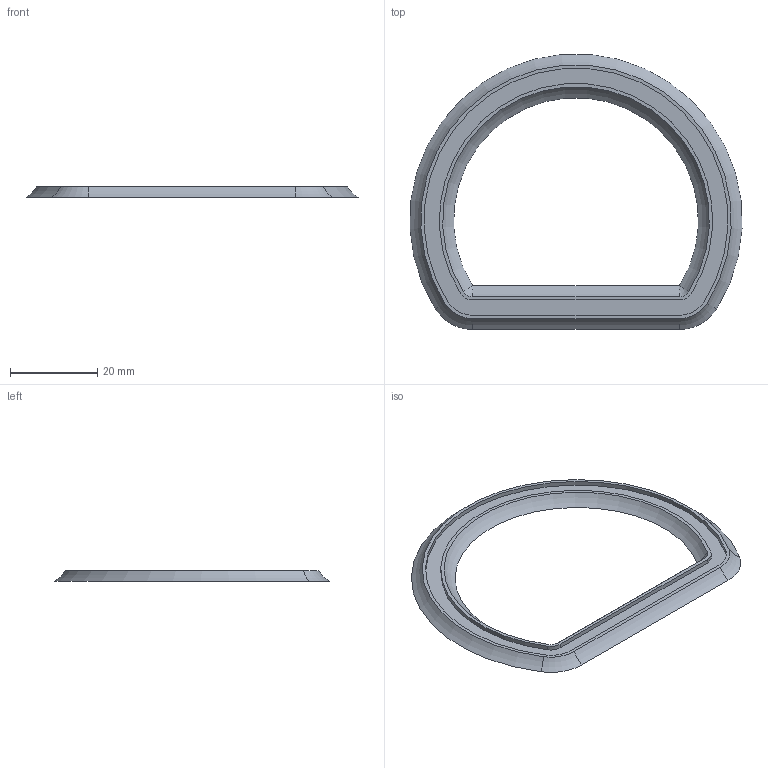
import cadquery as cq
import math

inner_radius = 28.0
inner_flat_y = -15.0
base_width = 10.0
height = 2.5
flank_run = 2.5
flank_radius = 8.0
rim_width = 0.75
groove_depth = 1.0

corner_x = math.sqrt(inner_radius**2 - inner_flat_y**2)
corner_angle = math.degrees(math.atan2(-inner_flat_y, corner_x))
ring_sweep = 180 + 2 * corner_angle
corner_sweep = 90 - corner_angle

flank_length = math.hypot(flank_run, height)
flank_sag = flank_radius - math.sqrt(flank_radius**2 - (flank_length / 2) ** 2)
flank_mid_offset = flank_run / 2 + flank_sag * height / flank_length
flank_mid_z = height / 2 - flank_sag * flank_run / flank_length


def band_section(plane, start=0.0):
    """Cross-section of the band; local x runs outwards from the inner base edge at start."""
    inner_rim = start + flank_run
    outer_base = start + base_width
    outer_rim = outer_base - flank_run
    floor_z = height - groove_depth
    return (
        cq.Workplane(plane)
        .moveTo(start, 0)
        .threePointArc((start + flank_mid_offset, flank_mid_z), (inner_rim, height))
        .lineTo(inner_rim + rim_width, height)
        .lineTo(inner_rim + rim_width, floor_z)
        .lineTo(outer_rim - rim_width, floor_z)
        .lineTo(outer_rim - rim_width, height)
        .lineTo(outer_rim, height)
        .threePointArc((outer_base - flank_mid_offset, flank_mid_z), (outer_base, 0))
        .close()
    )


def upright_plane(origin, outward_angle):
    """Plane with local y along Z and local x pointing outwards at the given angle from X."""
    angle = math.radians(outward_angle)
    outward = (math.cos(angle), math.sin(angle), 0)
    normal = (math.sin(angle), -math.cos(angle), 0)
    return cq.Plane(origin=origin, xDir=outward, normal=normal)


def make_ring():
    plane = upright_plane((0, 0, 0), -corner_angle)
    return band_section(plane, inner_radius).revolve(ring_sweep, (0, 0), (0, 1))


def make_bar():
    plane = upright_plane((-corner_x, inner_flat_y, 0), -90)
    return band_section(plane).extrude(-2 * corner_x)


def make_corner(x, start_angle):
    """Rounded corner turning the band about the sharp inner corner."""
    plane = upright_plane((x, inner_flat_y, 0), start_angle)
    return band_section(plane).revolve(corner_sweep, (0, 0), (0, 1))


right_corner = make_corner(corner_x, -90)
left_corner = make_corner(-corner_x, 180 + corner_angle)
result = make_ring().union(right_corner).union(left_corner).union(make_bar())